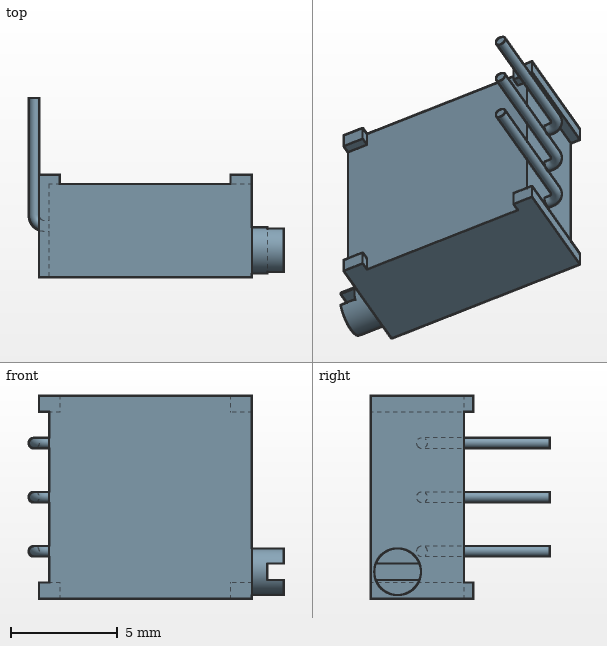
import cadquery as cq

body_length = 10.0
body_depth = 4.82
body_height = 9.53

rail_height = 0.77
left_recess_depth = 0.48
back_recess_depth = 0.43
left_foot_length = 0.98
right_foot_length = 1.02

pin_diameter = 0.5
pin_pitch = 2.54
pin_count = 3
pin_bend_radius = pin_diameter
pin_overhang = 0.48
pin_reach = 3.59
pin_embed = 0.24

screw_diameter = 2.19
screw_length = 1.5
screw_inset = 1.27
slot_width = 0.77
slot_depth = 0.78


def box(x_range, y_range, z_range):
    """Box spanning the given (start, end) ranges along each axis."""
    sizes = [end - start for start, end in (x_range, y_range, z_range)]
    corner = (x_range[0], y_range[0], z_range[0])
    return cq.Workplane("XY").box(*sizes, centered=False).translate(corner)


def make_body():
    full_length = (0, body_length)
    full_depth = (0, body_depth)
    full_height = (0, body_height)
    between_rails = (rail_height, body_height - rail_height)
    between_feet = (left_foot_length, body_length - right_foot_length)
    behind_back_wall = (body_depth - back_recess_depth, body_depth)

    body = box(full_length, full_depth, full_height)
    body = body.cut(box(between_feet, behind_back_wall, full_height))
    body = body.cut(box(full_length, behind_back_wall, between_rails))
    return body.cut(box((0, left_recess_depth), full_depth, between_rails))


def make_pin(z):
    """Pin leaving the middle of the left wall and bending towards the back."""
    axis_x = pin_diameter / 2 - pin_overhang
    axis_y = body_depth / 2
    bend_x = axis_x + pin_bend_radius
    bend_y = axis_y + pin_bend_radius
    tip_y = body_depth + pin_reach
    path = (
        cq.Workplane("XY", origin=(0, 0, z))
        .moveTo(axis_x, tip_y)
        .lineTo(axis_x, bend_y)
        .radiusArc((bend_x, axis_y), -pin_bend_radius)
        .lineTo(left_recess_depth + pin_embed, axis_y)
    )
    profile = cq.Workplane("XZ", origin=(axis_x, tip_y, z)).circle(pin_diameter / 2)
    return profile.sweep(path)


def make_screw():
    """Screw on the right face with a driver slot running along Y."""
    slot_start = body_length + screw_length - slot_depth
    screw = (
        cq.Workplane("YZ", origin=(body_length, screw_inset, screw_inset))
        .circle(screw_diameter / 2)
        .extrude(screw_length)
    )
    slot = box(
        (slot_start, body_length + screw_length),
        (screw_inset - screw_diameter / 2, screw_inset + screw_diameter / 2),
        (screw_inset - slot_width / 2, screw_inset + slot_width / 2),
    )
    return screw.cut(slot)


result = make_body().union(make_screw())
for index in range(pin_count):
    offset = (index - (pin_count - 1) / 2) * pin_pitch
    result = result.union(make_pin(body_height / 2 + offset))